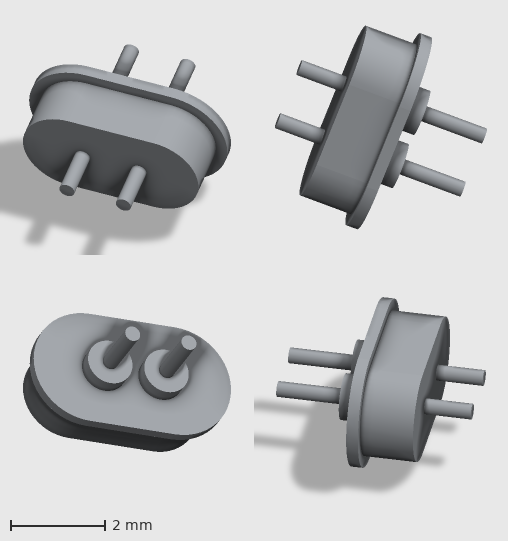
import cadquery as cq

flange_width = 4.45
flange_height = 2.54
flange_thickness = 0.255
flange_overhang = 0.255
body_width = flange_width - 2 * flange_overhang
body_height = flange_height - 2 * flange_overhang
body_length = 1.145

pin_pitch = 1.27
pin_diameter = 0.34
pin_front_length = 1.015
pin_rear_length = 1.425
bead_diameter = 0.89
boss_diameter = 1.0
boss_length = 0.383

flange_front = -flange_thickness
body_front = flange_front - body_length
pin_front = body_front - pin_front_length
pin_rear = boss_length + pin_rear_length


def rounded_plate(width, height, y_start, y_end):
    """Round-ended plate lying along X and extruded along Y."""
    plane = cq.Workplane("XZ", origin=(0, y_start, 0))
    return plane.slot2D(width, height).extrude(y_start - y_end)


def cylinders(diameter, y_start, y_end):
    """Pair of cylinders along Y, one on each pin axis."""
    plane = cq.Workplane("XZ", origin=(0, y_start, 0))
    axes = [(-pin_pitch / 2, 0), (pin_pitch / 2, 0)]
    return plane.pushPoints(axes).circle(diameter / 2).extrude(y_start - y_end)


flange = rounded_plate(flange_width, flange_height, flange_front, 0)
body = rounded_plate(body_width, body_height, body_front, flange_front)
bosses = cylinders(boss_diameter, 0, boss_length)
beads = cylinders(bead_diameter, body_front, 0)
pins = cylinders(pin_diameter, pin_front, pin_rear)

result = flange.union(body).union(bosses)
result = result.union(beads, clean=False).union(pins, clean=False)